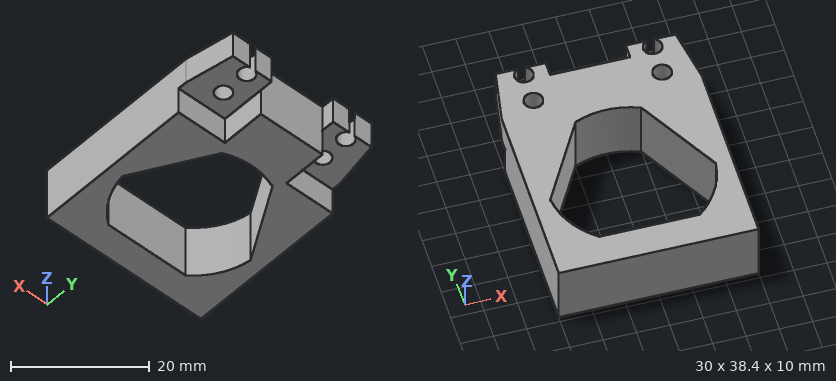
import cadquery as cq
import math

width = 30.0
length = 38.37
thickness = 10.0

taper_length = 8.45
taper_angle = 10.0
taper_inset = taper_length * math.tan(math.radians(taper_angle))

notch_width = 11.97
notch_depth = 2.3
recess_length = 10.0
recess_height = thickness / 2

hole_diameter = 2.8
hole_spacing_x = 19.3
hole_pitch_y = 5.0
front_hole_setback = 1.3

opening_radius = 12.5
flat_distance = 10.0
rear_wall = 5.0
opening_center_y = rear_wall + flat_distance


def make_body():
    """Plate with tapered front corners."""
    half_width = width / 2
    front_half_width = half_width - taper_inset
    outline = [
        (-half_width, 0),
        (half_width, 0),
        (half_width, length - taper_length),
        (front_half_width, length),
        (-front_half_width, length),
        (-half_width, length - taper_length),
    ]
    return cq.Workplane("XY").polyline(outline).close().extrude(thickness)


def make_opening():
    """Circle intersected with an equilateral triangle, with a flat facing the rear wall."""
    circle = cq.Workplane("XY").circle(opening_radius).extrude(thickness)
    corner_distance = 2 * flat_distance
    corners = []
    for angle in (90, 210, 330):
        direction = math.radians(angle)
        corners.append((corner_distance * math.cos(direction), corner_distance * math.sin(direction)))
    triangle = cq.Workplane("XY").polyline(corners).close().extrude(thickness)
    return circle.intersect(triangle).translate((0, opening_center_y, 0))


def make_notch():
    """Full-height slot in the middle of the front edge."""
    notch = cq.Workplane("XY").box(notch_width, notch_depth, thickness, centered=(True, False, False))
    return notch.translate((0, length - notch_depth, 0))


def make_ear_recess(side):
    """Space below one ear, leaving a central tongue as wide as the notch."""
    recess_width = (width - notch_width) / 2
    recess = cq.Workplane("XY").box(recess_width, recess_length, recess_height, centered=(True, False, False))
    center_x = side * (notch_width + recess_width) / 2
    return recess.translate((center_x, length - recess_length, 0))


def make_pin_holes():
    """Two rows of holes; the front row breaks through the front edge."""
    front_row_y = length - front_hole_setback
    centers = []
    for side in (-1, 1):
        for row in range(2):
            centers.append((side * hole_spacing_x / 2, front_row_y - row * hole_pitch_y))
    return cq.Workplane("XY").pushPoints(centers).circle(hole_diameter / 2).extrude(thickness)


result = make_body().cut(make_opening()).cut(make_notch()).cut(make_pin_holes())
for ear_side in (-1, 1):
    result = result.cut(make_ear_recess(ear_side))